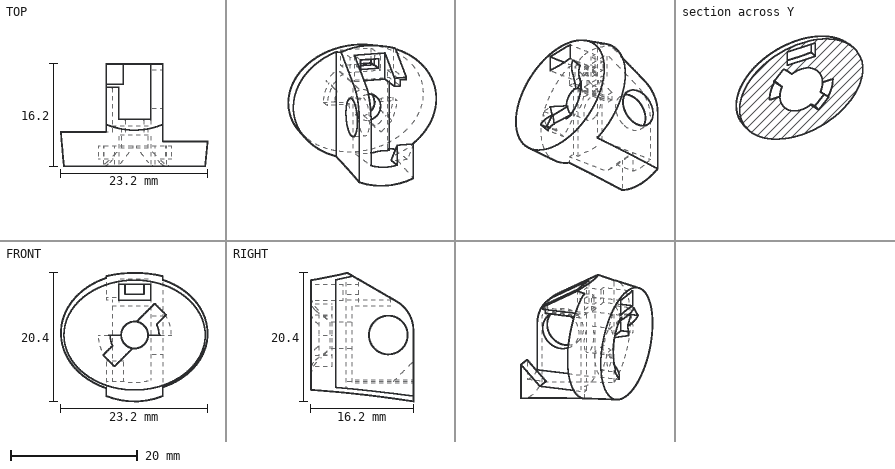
import cadquery as cq
import math

depth = 16.22
beyond = 27.89

body_sections = [
    (0.0, 11.18, 8.7, 0.0),
    (4.07, 11.57, 9.25, 0.23),
    (depth, 11.75, 11.57, 1.05),
]

tower_half_width = 4.49
left_shoulder_y = 5.45
right_shoulder_y = 3.95
peak_y = 5.72
peak_z = 9.85
roof_angle = math.radians(30)
roof_round = 5.35

slot_half_width = 2.53
slot_floor_y = 7.44
cavity_floor_y = 6.45
cavity_top_z = 4.6
cavity_radius = 7.5
pin_radius = 3.05
pin_y = 12.22

window_inner_x = -1.81
window_floor_z = -math.sqrt(cavity_radius ** 2 - window_inner_x ** 2)
lip_x = -3.5
lip_top_z = 5.58
wing_end_y = 12.5
wedge_start_y = 13.0

hole_radius = 2.11
bowl_round = 3.0
cone_depth = 2.11
cone_angle = 45.0
round_depth = bowl_round * (1 - math.cos(math.radians(cone_angle)))
bowl_depth = cone_depth + round_depth
cone_radius = hole_radius + cone_depth
bowl_radius = cone_radius + bowl_round * math.sin(math.radians(cone_angle))

key_angle = 45.0
key_width = 2.53
key_reach = 5.76
undercut_y = 1.23
key_depth = 3.25

recess_bottom_z = 5.53
recess_top_z = 8.0
recess_depth = 5.0
passage_half_width = 1.49
passage_bottom_z = 6.45


def block(x0, x1, y0, y1, z0, z1):
    """Box between two opposite corners."""
    return cq.Workplane("XY").box(x1 - x0, y1 - y0, z1 - z0, centered=False).translate((x0, y0, z0))


def along_y(y):
    """Workplane with local axes X and Z whose negative extrusions run toward +Y."""
    return cq.Workplane(cq.Plane((0, y, 0), xDir=(1, 0, 0), normal=(0, -1, 0)))


def make_body():
    wires = []
    for y, half_width, half_height, centre_z in body_sections:
        wires.append(cq.Wire.makeEllipse(
            half_width, half_height, cq.Vector(0, y, centre_z), cq.Vector(0, 1, 0), cq.Vector(1, 0, 0)))
    return cq.Workplane(obj=cq.Solid.makeLoft(wires))


def trim_tower(body):
    roof_end_z = peak_z - (depth - peak_y) * math.tan(roof_angle)
    tangent = roof_round * math.tan((math.pi / 2 - roof_angle) / 2)
    round_top = (depth - tangent * math.cos(roof_angle), roof_end_z + tangent * math.sin(roof_angle))
    centre = (depth - roof_round, roof_end_z - tangent)
    middle_angle = (math.pi / 2 - roof_angle) / 2
    round_middle = (
        centre[0] + roof_round * math.cos(middle_angle),
        centre[1] + roof_round * math.sin(middle_angle),
    )
    ridge_z = peak_z + peak_y * math.tan(roof_angle)
    profile = (
        cq.Workplane("YZ").moveTo(0, -beyond).lineTo(0, ridge_z).lineTo(*round_top)
        .threePointArc(round_middle, (depth, centre[1])).lineTo(depth, -beyond).close()
        .extrude(beyond, both=True)
    )
    left = block(-beyond, -tower_half_width, left_shoulder_y, beyond, -beyond, beyond)
    right = block(tower_half_width, beyond, right_shoulder_y, beyond, -beyond, beyond)
    return body.intersect(profile).cut(left).cut(right)


def window(x0, x1, start_y, top_z):
    """Opening through the left wall, leaving the 45 degree wedge at its lower back corner."""
    wedge_top_z = window_floor_z + beyond - wedge_start_y
    outline = [
        (start_y, window_floor_z), (start_y, top_z), (wing_end_y, top_z), (wing_end_y, beyond),
        (beyond, beyond), (beyond, wedge_top_z), (wedge_start_y, window_floor_z),
    ]
    return cq.Workplane("YZ").workplane(offset=x0).polyline(outline).close().extrude(x1 - x0)


def make_cavity():
    slot = block(-slot_half_width, slot_half_width, slot_floor_y, beyond, cavity_top_z, beyond)
    chamber = block(window_inner_x, slot_half_width, cavity_floor_y, beyond, -beyond, cavity_top_z)
    drum = along_y(0).circle(cavity_radius).extrude(-beyond)
    pin_hole = cq.Workplane("YZ").center(pin_y, 0).circle(pin_radius).extrude(beyond)
    inner_window = window(-beyond, window_inner_x, cavity_floor_y, cavity_top_z)
    inner_window = inner_window.cut(
        block(-slot_half_width, 0, 0, slot_floor_y, cavity_top_z, beyond))
    lip = window(-beyond, lip_x, left_shoulder_y, lip_top_z)
    return [slot, chamber.intersect(drum), pin_hole, inner_window, lip]


def make_bowl():
    arc_angle = math.radians(cone_angle / 2)
    arc_middle = (
        bowl_radius - bowl_round * math.sin(arc_angle),
        bowl_round * (1 - math.cos(arc_angle)),
    )
    return (
        cq.Workplane("XY").moveTo(0, 0).lineTo(bowl_radius, 0)
        .threePointArc(arc_middle, (cone_radius, round_depth))
        .lineTo(hole_radius, bowl_depth).lineTo(hole_radius, depth).lineTo(0, depth).close()
        .revolve(360, (0, 0, 0), (0, 1, 0))
    )


def make_bayonet():
    key = along_y(0).transformed(rotate=(0, 0, key_angle)).rect(2 * key_reach, key_width).extrude(-key_depth)
    cutters = [key]
    diagonal = key_reach * math.cos(math.radians(key_angle))
    for side in (1, -1):
        middle = (
            side * key_reach * math.cos(math.radians(key_angle / 2)),
            side * key_reach * math.sin(math.radians(key_angle / 2)),
        )
        cutters.append(
            along_y(undercut_y).lineTo(side * key_reach, 0)
            .threePointArc(middle, (side * diagonal, side * diagonal)).close()
            .extrude(undercut_y - key_depth)
        )
    return cutters


def make_recess():
    recess = block(-slot_half_width, slot_half_width, 0, recess_depth, recess_bottom_z, recess_top_z)
    passage = block(
        -passage_half_width, passage_half_width, 0, slot_floor_y, passage_bottom_z, recess_top_z)
    return [recess, passage]


result = trim_tower(make_body())
for cutter in make_cavity() + [make_bowl()] + make_bayonet() + make_recess():
    result = result.cut(cutter)